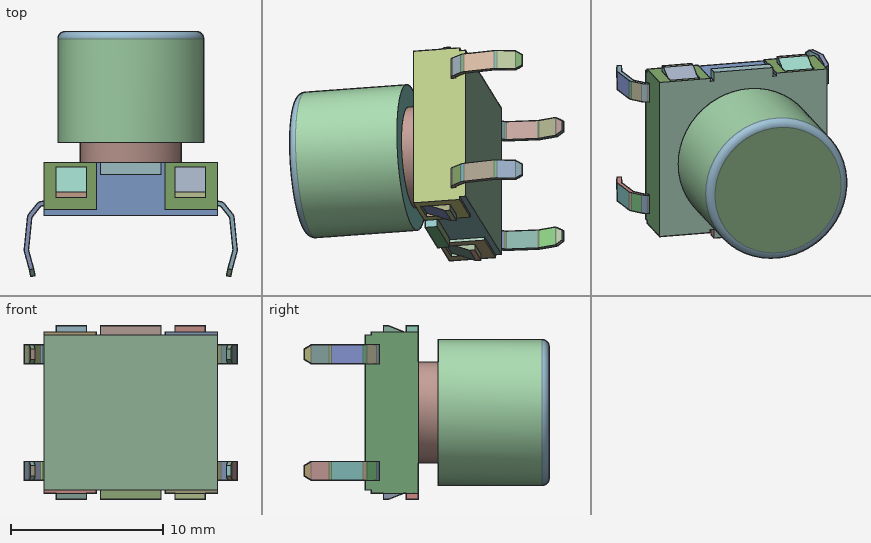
import cadquery as cq
import math


housing_width = 11.4
housing_core_height = 10.2
housing_depth = 3.5

pad_width = 3.45
pad_thickness = 0.2
pad_setback = 0.4

overall_height = 11.4
tab_width = 4.0
tab_depth = 0.8

latch_width = 2.0
latch_center_x = 3.9
latch_start = 0.3
latch_surface = 0.95
latch_crest = 1.95
latch_end = 2.3

stem_diameter = 6.65
stem_length = 1.3
cap_diameter = 9.6
cap_length = 7.3
cap_fillet = 0.5

lead_width = 1.25
lead_thickness = 0.3
lead_bend_radius = 0.35
lead_center_z = 3.825
lead_embed = 0.3
lead_exit_height = 0.8
lead_shoulder = (6.63, -0.05)
lead_knee = (6.855, -2.27)
lead_ankle = (6.515, -3.515)
lead_tip = (6.42, -3.972)
lead_elbow_x = 5.95
tip_width = 0.7

half_width = housing_width / 2
core_top_z = housing_core_height / 2
pad_top_z = core_top_z + pad_thickness
outer_z = overall_height / 2
latch_slope = (outer_z - pad_top_z) / (latch_crest - latch_surface)
latch_pocket_depth = latch_slope * (latch_surface - latch_start)


def box_between(x_range, y_range, z_range):
    """Axis-aligned box spanning the given (low, high) ranges."""
    size = [high - low for low, high in (x_range, y_range, z_range)]
    corner = (x_range[0], y_range[0], z_range[0])
    return cq.Workplane("XY").box(*size, centered=False).translate(corner)


def latch_prism(profile):
    """Extrude a (Y, Z) outline across the width of the latch on the +X side."""
    start_x = latch_center_x - latch_width / 2
    return cq.Workplane("YZ", origin=(start_x, 0, 0)).polyline(profile).close().extrude(latch_width)


def both_sides(shape, plane):
    """Join a shape with its mirror image."""
    return shape.union(shape.mirror(plane))


def make_housing():
    """Housing core with pads, tabs and latches on the +Z and -Z sides."""
    core = box_between((-half_width, half_width), (0, housing_depth), (-core_top_z, core_top_z))

    pad = box_between((half_width - pad_width, half_width), (pad_setback, housing_depth), (0, pad_top_z))
    ramp_start = (housing_depth - latch_start, pad_top_z - latch_pocket_depth)
    ramp_surface = (housing_depth - latch_surface, pad_top_z)
    latch = latch_prism([
        ramp_surface,
        (housing_depth - latch_crest, outer_z),
        (housing_depth - latch_end, outer_z),
        (housing_depth - latch_end, 0),
        (housing_depth - latch_surface, 0),
    ])
    pocket = latch_prism([ramp_start, ramp_surface, (housing_depth - latch_start, pad_top_z)])
    corner = pad.union(latch)
    tab = box_between((-tab_width / 2, tab_width / 2), (housing_depth - tab_depth, housing_depth), (0, outer_z))

    side = both_sides(corner, "YZ").union(tab)
    pockets = both_sides(both_sides(pocket, "YZ"), "XY")
    return core.union(both_sides(side, "XY")).cut(pockets)


def make_button():
    """Stem and cap, with a rounded rim on the cap's outer face."""
    stem = cq.Workplane("XZ", origin=(0, housing_depth, 0)).circle(stem_diameter / 2).extrude(-stem_length)
    cap_base = (0, housing_depth + stem_length, 0)
    cap = cq.Workplane("XZ", origin=cap_base).circle(cap_diameter / 2).extrude(-cap_length)
    return stem.union(cap.faces(">Y").edges().fillet(cap_fillet))


def make_lead():
    """Bent strip on the +X side, centred on Z = 0, with a tapered tip."""
    start_x = half_width - lead_embed
    bends = [
        (start_x, lead_exit_height),
        (lead_elbow_x, lead_exit_height),
        lead_shoulder,
        lead_knee,
        lead_ankle,
        lead_tip,
    ]
    centreline = cq.Wire.makePolygon([cq.Vector(x, y, 0) for x, y in bends])
    centreline = centreline.fillet(lead_bend_radius)
    section = cq.Workplane("YZ", origin=(start_x, lead_exit_height, 0)).rect(lead_thickness, lead_width)
    strip = section.sweep(cq.Workplane(centreline))

    run_x = lead_tip[0] - lead_ankle[0]
    run_y = lead_tip[1] - lead_ankle[1]
    run = math.hypot(run_x, run_y)
    tip_plane = cq.Plane(
        origin=(lead_tip[0], lead_tip[1], 0),
        xDir=(run_x / run, run_y / run, 0),
        normal=(-run_y / run, run_x / run, 0),
    )
    for side in (1, -1):
        corner = [
            (-run, side * lead_width / 2),
            (0, side * lead_width / 2),
            (0, side * tip_width / 2),
        ]
        trim = cq.Workplane(tip_plane).polyline(corner).close().extrude(lead_thickness, both=True)
        strip = strip.cut(trim)
    return strip


def make_leads():
    """Four leads, mirrored about both middle planes."""
    lead = make_lead().translate((0, 0, lead_center_z))
    return both_sides(both_sides(lead, "YZ"), "XY")


result = make_housing().union(make_button()).union(make_leads()).solids()